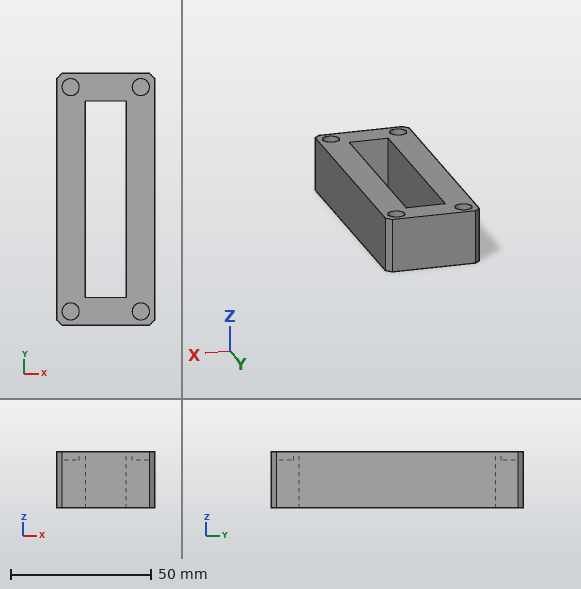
import cadquery as cq

length = 90.0
width = 35.0
height = 20.0
corner_chamfer = 2.0

window_width = 14.5
window_length = 69.9

hole_diameter = 6.1
hole_depth = 3.0
hole_spacing_x = 25.0
hole_spacing_y = 80.0


def make_block():
    block = cq.Workplane("XY").box(width, length, height)
    return block.edges("|Z").chamfer(corner_chamfer)


def cut_window(body):
    return body.faces(">Z").workplane().rect(window_width, window_length).cutThruAll()


def cut_corner_holes(body):
    return (
        body.faces(">Z")
        .workplane()
        .rect(hole_spacing_x, hole_spacing_y, forConstruction=True)
        .vertices()
        .hole(hole_diameter, hole_depth)
    )


result = cut_corner_holes(cut_window(make_block()))